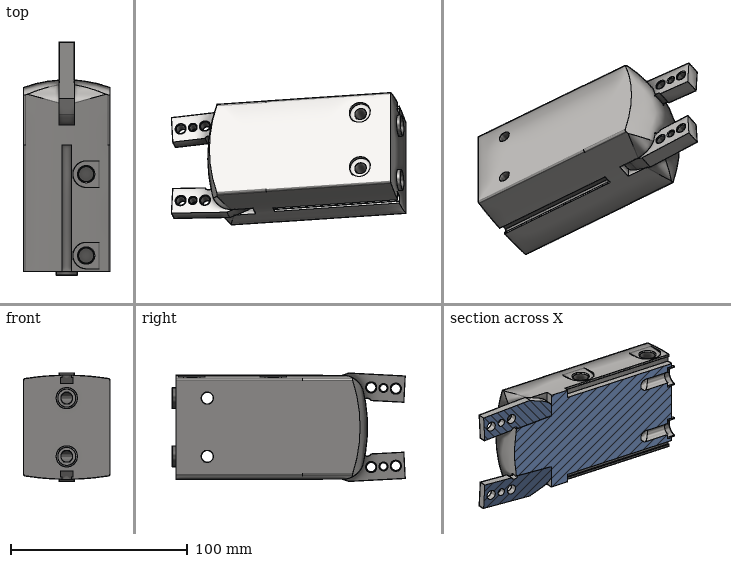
import cadquery as cq
import math

OVERALL_LENGTH = 132.09
OVERALL_HEIGHT = 61.49

BODY_WIDTH = 49.0
BODY_HEIGHT = 59.0
CROWN_RADIUS = 150.0
BASE_LENGTH = 71.8
BASE_EDGE_RADIUS = 1.0
CAP_EDGE_RADIUS = 1.35

DOME_SWEEP_RADIUS = 72.0
DOME_PROFILE_RADIUS = 90.0
DOME_APEX_Y = 108.65
NOSE_RADIUS = 12.5

SLOT_OPENING = 5.2
SLOT_WIDTH = 6.9
SLOT_LIP = 1.3
SLOT_DEPTH = 4.7

PORT_X = 11.0
PORT_REAR_Y = 9.1
PORT_SPACING = 46.1
PORT_DIAMETER = 8.57
PORT_DEPTH = 10.0
PORT_CHAMFER = 0.6
PORT_FLAT_RADIUS = 7.5
PORT_FLAT_EDGE_X = 18.2

MOUNT_Z = 16.5
MOUNT_DIAMETER = 6.65
SIDE_MOUNT_Y = 17.8
RECESS_DIAMETER = 12.0
RECESS_DEPTH = 2.6

SLEEVE_BORE = 10.2
SLEEVE_PROTRUSION = 2.1
SLEEVE_WALL = (RECESS_DIAMETER - SLEEVE_BORE) / 2

JAW_ANGLE = 3.0
JAW_THICKNESS = 8.6
JAW_WIDTH = 15.0
JAW_TIP_Y = OVERALL_LENGTH - SLEEVE_PROTRUSION
JAW_PEAK_Y = 98.0
JAW_PEAK_Z = OVERALL_HEIGHT / 2
JAW_HEEL_Y = 83.0
JAW_SLOPE = 19.5
JAW_SLOPE_END_Y = 88.9
JAW_HEEL_RADIUS = 14.0
JAW_HOLE_FROM_TIP = 5.0
JAW_HOLE_PITCH = 7.0
JAW_HOLE_DIAMETERS = (5.3, 4.0, 5.3)
JAW_HOLE_CHAMFER = 0.5
JAW_RELIEF_RADIUS = 2.5
JAW_RELIEF_OFFSET = 1.3
JAW_RELIEF_FROM_TIP = 20.8


def crown_z(x):
    """Height of the arched top face at a given x."""
    return BODY_HEIGHT / 2 - CROWN_RADIUS + math.sqrt(CROWN_RADIUS ** 2 - x ** 2)


def body_section():
    """Closed section in XZ: flat sides, arched top and bottom."""
    side = BODY_WIDTH / 2
    edge_z = crown_z(side)
    mid_z = BODY_HEIGHT / 2
    return (
        cq.Workplane("XZ")
        .moveTo(-side, -edge_z)
        .threePointArc((0, -mid_z), (side, -edge_z))
        .lineTo(side, edge_z)
        .threePointArc((0, mid_z), (-side, edge_z))
        .close()
    )


def body_prism(start_y, end_y, edge_radius):
    """Length of the body section along Y with rounded long edges."""
    prism = body_section().extrude(start_y - end_y).translate((0, start_y, 0))
    return prism.edges("|Y").fillet(edge_radius)


def dome():
    """Barrel shape: dome profile arc revolved about an upright axis, taller than the body."""
    reach = BODY_HEIGHT
    arc_r = DOME_SWEEP_RADIUS - DOME_PROFILE_RADIUS
    end_r = arc_r + math.sqrt(DOME_PROFILE_RADIUS ** 2 - reach ** 2)
    return (
        cq.Workplane("XZ")
        .moveTo(0, -reach)
        .lineTo(end_r, -reach)
        .threePointArc((DOME_SWEEP_RADIUS, 0), (end_r, reach))
        .lineTo(0, reach)
        .close()
        .revolve(360, (0, 0, 0), (0, 1, 0))
        .translate((0, DOME_APEX_Y - DOME_SWEEP_RADIUS, 0))
    )


def nose():
    """Side outline of the cap: crown rounded by arcs tangent to the dome profile."""
    profile_y = DOME_APEX_Y - DOME_PROFILE_RADIUS
    top_z = BODY_HEIGHT / 2
    nose_z = top_z - NOSE_RADIUS
    inner_radius = DOME_PROFILE_RADIUS - NOSE_RADIUS
    tilt = math.asin(nose_z / inner_radius)
    nose_y = profile_y + inner_radius * math.cos(tilt)
    bisector = (math.pi / 2 + tilt) / 2

    def on_nose(angle):
        return nose_y + NOSE_RADIUS * math.cos(angle), nose_z + NOSE_RADIUS * math.sin(angle)

    end_y, end_z = on_nose(tilt)
    mid_y, mid_z = on_nose(bisector)
    front_y = profile_y + DOME_PROFILE_RADIUS / math.cos(tilt)
    return (
        cq.Workplane("YZ")
        .moveTo(BASE_LENGTH, -top_z)
        .lineTo(nose_y, -top_z)
        .threePointArc((mid_y, -mid_z), (end_y, -end_z))
        .lineTo(front_y, 0)
        .lineTo(end_y, end_z)
        .threePointArc((mid_y, mid_z), (nose_y, top_z))
        .lineTo(BASE_LENGTH, top_z)
        .close()
        .extrude(BODY_WIDTH / 2, both=True)
    )


def make_cap():
    """Cap: body section bounded by the rounded nose outline and the dome."""
    prism = body_prism(BASE_LENGTH, DOME_APEX_Y, CAP_EDGE_RADIUS)
    return prism.intersect(nose()).intersect(dome())


def sensor_slot():
    """T-shaped slot cutter for the top face, over the length of the rear part."""
    top_z = BODY_HEIGHT / 2
    half_opening = SLOT_OPENING / 2
    half_width = SLOT_WIDTH / 2
    lip_z = top_z - SLOT_LIP
    floor_z = top_z - SLOT_DEPTH
    return (
        cq.Workplane("XZ")
        .polyline([
            (-half_opening, top_z),
            (-half_opening, lip_z),
            (-half_width, lip_z),
            (-half_width, floor_z),
            (half_width, floor_z),
            (half_width, lip_z),
            (half_opening, lip_z),
            (half_opening, top_z),
        ])
        .close()
        .extrude(-BASE_LENGTH)
    )


def drill(plane, mouth, diameter, depth, chamfer):
    """Hole cutter from a mouth point against the plane normal, mouth chamfered."""
    hole = cq.Workplane(plane, origin=mouth).circle(diameter / 2).extrude(-depth)
    cone = (
        cq.Workplane(plane, origin=mouth)
        .circle(diameter / 2 + chamfer)
        .workplane(offset=-chamfer)
        .circle(diameter / 2)
        .loft()
    )
    return hole.union(cone)


def port(y):
    """Cutter for one air port: round-ended flat and a chamfered blind hole."""
    flat_z = crown_z(PORT_FLAT_EDGE_X)
    run_out = BODY_WIDTH / 2 - PORT_X
    flat_height = BODY_HEIGHT / 2 - flat_z
    sketch = cq.Workplane("XY", origin=(PORT_X, y, flat_z))
    flat = sketch.circle(PORT_FLAT_RADIUS).extrude(flat_height)
    flat = flat.union(
        sketch.center(run_out / 2, 0).rect(run_out, 2 * PORT_FLAT_RADIUS).extrude(flat_height)
    )
    return flat.union(drill("XY", (PORT_X, y, flat_z), PORT_DIAMETER, PORT_DEPTH, PORT_CHAMFER))


def mount_holes(z):
    """Cutter for one rear hole and the side hole it runs into."""
    side = -BODY_WIDTH / 2
    rear_plane = cq.Workplane("XZ", origin=(0, 0, z))
    side_plane = cq.Workplane("YZ", origin=(side, SIDE_MOUNT_Y, z))
    cutter = rear_plane.circle(MOUNT_DIAMETER / 2).extrude(-SIDE_MOUNT_Y)
    cutter = cutter.union(rear_plane.circle(RECESS_DIAMETER / 2).extrude(-RECESS_DEPTH))
    cutter = cutter.union(side_plane.circle(MOUNT_DIAMETER / 2).extrude(BODY_WIDTH))
    return cutter.union(side_plane.circle(RECESS_DIAMETER / 2).extrude(RECESS_DEPTH))


def along_jaw(from_tip, from_back):
    """Point (y, z) on the upper jaw, measured from its outer tip corner."""
    lean = math.radians(JAW_ANGLE)
    tip_z = JAW_PEAK_Z - (JAW_TIP_Y - JAW_PEAK_Y) * math.tan(lean)
    y = JAW_TIP_Y - from_tip * math.cos(lean) - from_back * math.sin(lean)
    z = tip_z + from_tip * math.sin(lean) - from_back * math.cos(lean)
    return y, z


def jaw_blank():
    """Upper jaw plate before its relief and holes are cut."""
    lean = math.radians(JAW_ANGLE)
    slope = math.radians(JAW_SLOPE)
    tip_y, tip_z = along_jaw(0, 0)
    low_tip_y, low_tip_z = along_jaw(0, JAW_WIDTH)
    low_heel_z = low_tip_z + (low_tip_y - JAW_HEEL_Y) * math.tan(lean)
    slope_end_z = JAW_PEAK_Z - (JAW_PEAK_Y - JAW_SLOPE_END_Y) * math.tan(slope)

    arc_y = JAW_SLOPE_END_Y + JAW_HEEL_RADIUS * math.sin(slope)
    arc_z = slope_end_z - JAW_HEEL_RADIUS * math.cos(slope)
    heel_angle = math.asin((arc_y - JAW_HEEL_Y) / JAW_HEEL_RADIUS)

    def on_arc(angle):
        return arc_y - JAW_HEEL_RADIUS * math.sin(angle), arc_z + JAW_HEEL_RADIUS * math.cos(angle)

    return (
        cq.Workplane("YZ")
        .moveTo(tip_y, tip_z)
        .lineTo(JAW_PEAK_Y, JAW_PEAK_Z)
        .lineTo(JAW_SLOPE_END_Y, slope_end_z)
        .threePointArc(on_arc((slope + heel_angle) / 2), on_arc(heel_angle))
        .lineTo(JAW_HEEL_Y, low_heel_z)
        .lineTo(low_tip_y, low_tip_z)
        .close()
        .extrude(JAW_THICKNESS / 2, both=True)
    )


def jaw_pocket():
    """Housing slot that holds the upper jaw, open to the top and the front."""
    length = JAW_TIP_Y - JAW_HEEL_Y
    opening = (
        cq.Workplane("XY", origin=(0, JAW_HEEL_Y + length / 2, JAW_PEAK_Z))
        .rect(JAW_THICKNESS, length)
        .extrude(-JAW_WIDTH / 2)
    )
    return opening.union(jaw_blank())


def make_upper_jaw():
    """Jaw plate with a round relief in front of the dome and three cross holes."""
    half = JAW_THICKNESS / 2
    relief_y, relief_z = along_jaw(JAW_RELIEF_FROM_TIP, JAW_WIDTH + JAW_RELIEF_OFFSET)
    relief = (
        cq.Workplane("YZ", origin=(0, relief_y, relief_z))
        .circle(JAW_RELIEF_RADIUS)
        .extrude(half, both=True)
    )
    jaw = jaw_blank().cut(relief)
    for index, diameter in enumerate(JAW_HOLE_DIAMETERS):
        y, z = along_jaw(JAW_HOLE_FROM_TIP + index * JAW_HOLE_PITCH, JAW_WIDTH / 2)
        for plane, face_x in (("YZ", half), ("ZY", -half)):
            jaw = jaw.cut(drill(plane, (face_x, y, z), diameter, half, JAW_HOLE_CHAMFER))
    return jaw


def make_sleeve(z):
    """Centring sleeve seated in a rear recess, its outer lip fully rounded."""
    outer = RECESS_DIAMETER / 2
    inner = SLEEVE_BORE / 2
    rear_y = -SLEEVE_PROTRUSION
    lip_y = rear_y + SLEEVE_WALL / 2
    return (
        cq.Workplane("XY")
        .moveTo(inner, RECESS_DEPTH)
        .lineTo(outer, RECESS_DEPTH)
        .lineTo(outer, lip_y)
        .threePointArc(((inner + outer) / 2, rear_y), (inner, lip_y))
        .close()
        .revolve(360, (0, 0, 0), (0, 1, 0))
        .translate((0, 0, z))
    )


def make_housing():
    """Rear part and domed cap with all slots, ports, holes and jaw pockets."""
    housing = body_prism(0, BASE_LENGTH, BASE_EDGE_RADIUS).union(make_cap())
    for feature in (sensor_slot(), jaw_pocket()):
        housing = housing.cut(feature).cut(feature.mirror("XY"))
    for z in (-MOUNT_Z, MOUNT_Z):
        housing = housing.cut(mount_holes(z))
    for y in (PORT_REAR_Y, PORT_REAR_Y + PORT_SPACING):
        housing = housing.cut(port(y))
    return housing


housing = make_housing()
upper_jaw = make_upper_jaw()
jaws = [upper_jaw, upper_jaw.mirror("XY")]
sleeves = [make_sleeve(z) for z in (-MOUNT_Z, MOUNT_Z)]

result = cq.Compound.makeCompound(
    [housing.val()] + [jaw.val() for jaw in jaws] + [sleeve.val() for sleeve in sleeves]
)